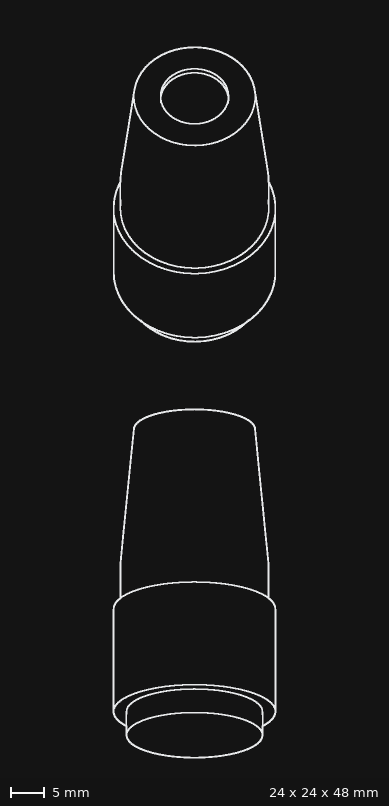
import cadquery as cq

total_height = 48.0
base_height = 3.7
collar_height = 16.15
neck_height = 7.1

base_diameter = 20.15
collar_diameter = 24.0
neck_diameter = 22.0
tip_diameter = 18.0

recess_diameter = 10.1
recess_depth = 1.0

collar_top = base_height + collar_height
neck_top = collar_top + neck_height


def stepped_body():
    """Base, collar, neck and tapered tip, revolved about Z."""
    profile = (
        cq.Workplane("XZ")
        .lineTo(base_diameter / 2, 0)
        .lineTo(base_diameter / 2, base_height)
        .lineTo(collar_diameter / 2, base_height)
        .lineTo(collar_diameter / 2, collar_top)
        .lineTo(neck_diameter / 2, collar_top)
        .lineTo(neck_diameter / 2, neck_top)
        .lineTo(tip_diameter / 2, total_height)
        .lineTo(0, total_height)
        .close()
    )
    return profile.revolve(360, (0, 0, 0), (0, 1, 0))


def tip_recess():
    """Shallow round pocket in the top face."""
    floor = total_height - recess_depth
    return cq.Workplane("XY").workplane(offset=floor).circle(recess_diameter / 2).extrude(recess_depth)


result = stepped_body().cut(tip_recess())